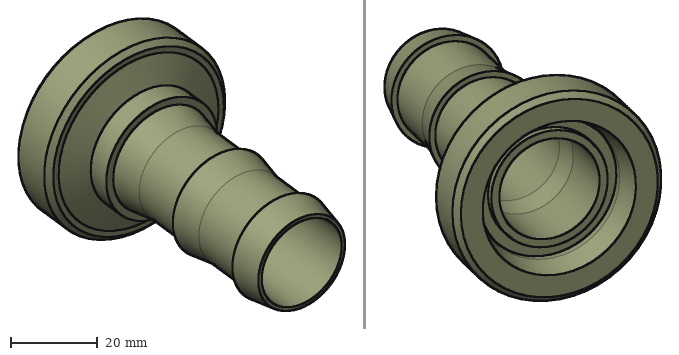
import cadquery as cq

total_length = 76.0
flange_length = 13.0
shoulder_end = 16.0
collar_end = 22.0
barb_length = 8.0
barb_starts = (collar_end, 45.0, total_length - barb_length)
seat_depth = 6.0
socket_depth = 8.0
rim_height = 2.0
rim_face = socket_depth - rim_height

flange_radius = 52.12 / 2
flange_chamfer = 1.5
shoulder_radius = 23.0
collar_radius = 16.0
barb_radius = 14.0
tube_radius = 12.5

seat_mouth_radius = 19.1
socket_radius = 17.5
rim_radius = 14.5
inlet_radius = 12.5
bore_radius = 11.5

throat_length = 6.0
inlet_end = collar_end
bore_start = inlet_end + throat_length


def revolve_about_x(points):
    """Revolve an (x, radius) outline one full turn about the X axis."""
    return cq.Workplane("XZ").polyline(points).close().revolve(360, (0, 0), (1, 0))


def make_flange():
    """Disc at the open end, chamfered on both rims."""
    disc = cq.Workplane("YZ").circle(flange_radius).extrude(flange_length)
    return disc.edges().chamfer(flange_chamfer)


def make_shoulder_and_collar():
    """Conical shoulder behind the flange, running into a cylindrical collar."""
    return revolve_about_x(
        [
            (flange_length, 0),
            (flange_length, shoulder_radius),
            (shoulder_end, collar_radius),
            (collar_end, collar_radius),
            (collar_end, 0),
        ]
    )


def make_barb(start):
    """Ring with a square step facing -X that tapers down to the tube toward +X."""
    end = start + barb_length
    return revolve_about_x([(start, 0), (start, barb_radius), (end, tube_radius), (end, 0)])


def make_hose_tail():
    """Plain tube with the barbs spaced along it."""
    tube_length = total_length - collar_end
    tail = cq.Workplane("YZ").workplane(offset=collar_end).circle(tube_radius).extrude(tube_length)
    for start in barb_starts:
        tail = tail.union(make_barb(start))
    return tail


def make_passage():
    """Cutting body: conical seat, socket around a raised rim, inlet and through bore."""
    return revolve_about_x(
        [
            (0, 0),
            (0, seat_mouth_radius),
            (seat_depth, socket_radius),
            (socket_depth, socket_radius),
            (socket_depth, rim_radius),
            (rim_face, rim_radius),
            (rim_face, inlet_radius),
            (inlet_end, inlet_radius),
            (bore_start, bore_radius),
            (total_length, bore_radius),
            (total_length, 0),
        ]
    )


body = make_flange().union(make_shoulder_and_collar()).union(make_hose_tail())
result = body.cut(make_passage())